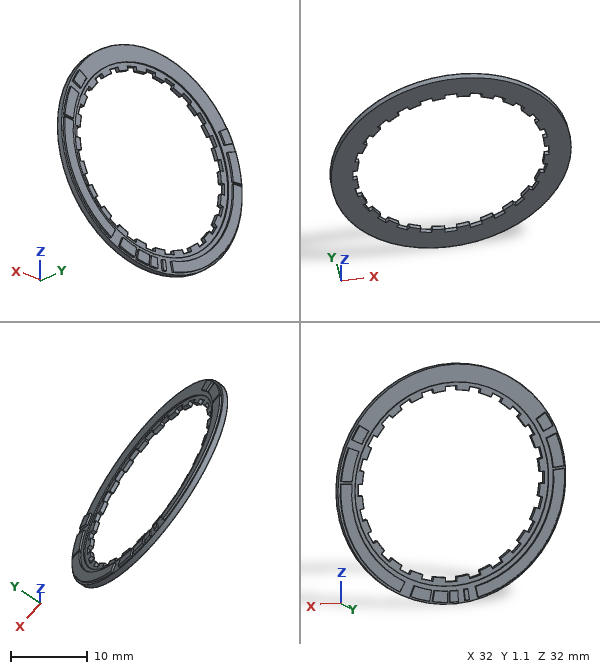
import cadquery as cq
import math

outer_radius = 16.0
bore_radius = 12.5
ring_thickness = 0.8

notch_count = 24
notch_width = 1.6
notch_floor_radius = 13.05

edge_thickness = 0.6
recess_radius = 13.6

pad_height = 0.3
pad_outer_radius = 15.7
pad_inner_radius = 14.2

lower_pad_spans = [
    (-94.0, -13.2),
    (-8.6, -6.5),
    (-2.9, 1.5),
    (2.8, 10.3),
    (12.0, 22.1),
    (28.2, 94.0),
]
side_pad_spans = [
    (95.3, 111.9),
    (116.1, 123.9),
]

back_face_y = ring_thickness / 2


def plane_at(y):
    """Plane facing -Y at the given Y, with local x along +X and local y along +Z."""
    return cq.Workplane("XZ", origin=(0, y, 0))


def make_ring():
    """Plain flat annulus."""
    return plane_at(back_face_y).circle(outer_radius).circle(bore_radius).extrude(ring_thickness)


def make_notches():
    """Flat-floored, parallel-sided notch cutters spaced evenly around the bore."""
    cutter_start = bore_radius - notch_width
    cutter_length = notch_floor_radius - cutter_start
    return (
        plane_at(back_face_y)
        .polarArray((cutter_start + notch_floor_radius) / 2, 0, 360, notch_count)
        .rect(cutter_length, notch_width)
        .extrude(ring_thickness)
    )


def make_recess():
    """Disc cutter that thins the notched edge from the back."""
    return plane_at(back_face_y).circle(recess_radius).extrude(ring_thickness - edge_thickness)


def point_on_ring(radius, angle):
    """Local (x, z) point at an angle in degrees from -Z, positive toward +X."""
    return radius * math.sin(math.radians(angle)), -radius * math.cos(math.radians(angle))


def make_pad(start, end):
    """Arc-shaped pad standing on the back face."""
    middle = (start + end) / 2
    return (
        plane_at(back_face_y + pad_height)
        .moveTo(*point_on_ring(pad_inner_radius, start))
        .lineTo(*point_on_ring(pad_outer_radius, start))
        .threePointArc(point_on_ring(pad_outer_radius, middle), point_on_ring(pad_outer_radius, end))
        .lineTo(*point_on_ring(pad_inner_radius, end))
        .threePointArc(point_on_ring(pad_inner_radius, middle), point_on_ring(pad_inner_radius, start))
        .close()
        .extrude(pad_height)
    )


result = make_ring().cut(make_notches()).cut(make_recess())

mirrored_side_spans = [(-end, -start) for start, end in side_pad_spans]
for span_start, span_end in lower_pad_spans + side_pad_spans + mirrored_side_spans:
    result = result.union(make_pad(span_start, span_end))